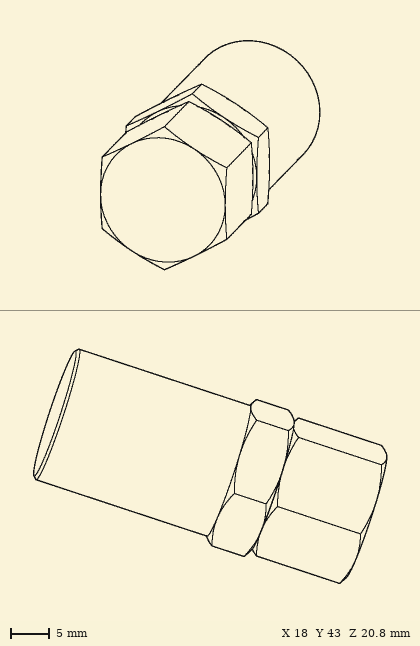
import cadquery as cq
import math

total_length = 43.0
barrel_diameter = 18.0
barrel_chamfer = 0.4
collar_flats = barrel_diameter
collar_length = 6.0
head_flats = 17.0
head_length = 13.0
corner_chamfer_angle = 30.0

barrel_length = total_length - collar_length - head_length


def chamfered_hexagon(across_flats, length):
    """Hexagonal prism along +Z, its corners turned off by a cone at both ends."""
    flat_radius = across_flats / 2
    corner_radius = flat_radius / math.cos(math.pi / 6)
    chamfer_slope = math.tan(math.radians(corner_chamfer_angle))
    chamfer_height = (corner_radius - flat_radius) * chamfer_slope
    prism = cq.Workplane("XY").polygon(6, 2 * corner_radius).extrude(length)
    prism = prism.rotate((0, 0, 0), (0, 0, 1), 90)
    turned_envelope = (
        cq.Workplane("XZ")
        .moveTo(0, 0)
        .lineTo(flat_radius, 0)
        .lineTo(corner_radius, chamfer_height)
        .lineTo(corner_radius, length - chamfer_height)
        .lineTo(flat_radius, length)
        .lineTo(0, length)
        .close()
        .revolve(360, (0, 0, 0), (0, 1, 0))
    )
    return prism.intersect(turned_envelope)


head = chamfered_hexagon(head_flats, head_length)
collar = chamfered_hexagon(collar_flats, collar_length).translate((0, 0, head_length))
barrel = (
    cq.Workplane("XY")
    .circle(barrel_diameter / 2)
    .extrude(barrel_length)
    .faces(">Z")
    .chamfer(barrel_chamfer)
    .translate((0, 0, head_length + collar_length))
)

result = head.union(collar).union(barrel).rotate((0, 0, 0), (1, 0, 0), -90)